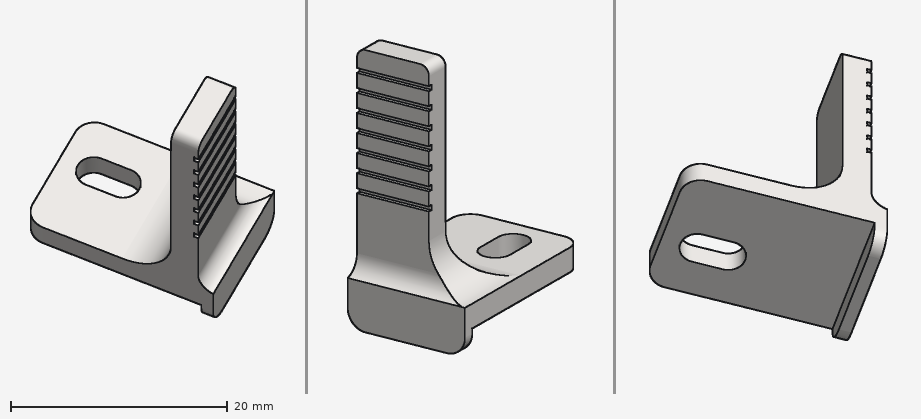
import cadquery as cq
import math

length = 19.5
depth = 13.04
height = 27.5

base_thickness = 2.5
base_corner_radius = 2.0

lip_drop = 2.5
lip_thickness = 1.25
lip_corner_radius = 2.0

wall_thickness = 2.8
wall_setback = 1.55
wall_depth = 8.0
wall_corner_radius = 1.0

inner_blend_radius = 5.0
outer_blend_radius = 2.0

slot_length = 6.3
slot_width = 3.3
slot_center_x = 5.0
slot_center_y = 7.75

groove_count = 7
groove_pitch = 2.0
groove_height = 0.5
groove_depth = 0.45
first_groove_drop = 2.0

wall_top = height - base_thickness - lip_drop
base_bottom = -base_thickness
lip_bottom = base_bottom - lip_drop
wall_outer_x = length - wall_setback
wall_inner_x = wall_outer_x - wall_thickness

outer_blend_rise = math.sqrt(outer_blend_radius**2 - (outer_blend_radius - wall_setback) ** 2)


def make_side_profile():
    """Base, wall, lip and both X blends, extruded over the full depth."""
    return (
        cq.Workplane("XZ")
        .moveTo(0, base_bottom)
        .lineTo(0, 0)
        .lineTo(wall_inner_x - inner_blend_radius, 0)
        .radiusArc((wall_inner_x, inner_blend_radius), -inner_blend_radius)
        .lineTo(wall_inner_x, wall_top)
        .lineTo(wall_outer_x, wall_top)
        .lineTo(wall_outer_x, outer_blend_rise)
        .radiusArc((length, 0), -outer_blend_radius)
        .lineTo(length, lip_bottom)
        .lineTo(length - lip_thickness, lip_bottom)
        .lineTo(length - lip_thickness, base_bottom)
        .close()
        .extrude(-depth)
    )


def make_end_profile():
    """Wall, its back blend and the base, seen along X and extruded over the full length."""
    return (
        cq.Workplane("YZ")
        .moveTo(0, lip_bottom)
        .lineTo(depth, lip_bottom)
        .lineTo(depth, 0)
        .lineTo(wall_depth + inner_blend_radius, 0)
        .radiusArc((wall_depth, inner_blend_radius), inner_blend_radius)
        .lineTo(wall_depth, wall_top)
        .lineTo(0, wall_top)
        .close()
        .extrude(length)
    )


def round_corners(body):
    """Round the wall top, the lip bottom and the free end of the base."""
    body = body.edges("|X and >Z").fillet(wall_corner_radius)
    body = body.edges("|X and <Z").fillet(lip_corner_radius)
    return body.edges("|Z and <X").fillet(base_corner_radius)


def make_slot():
    return (
        cq.Workplane("XY", origin=(slot_center_x, slot_center_y, base_bottom))
        .slot2D(slot_length, slot_width)
        .extrude(base_thickness)
    )


def make_groove(top):
    return cq.Workplane("XY").box(groove_depth, wall_depth, groove_height, centered=False).translate(
        (wall_outer_x - groove_depth, 0, top - groove_height)
    )


result = round_corners(make_side_profile().intersect(make_end_profile()))
result = result.cut(make_slot())
for index in range(groove_count):
    groove_top = wall_top - first_groove_drop - index * groove_pitch
    result = result.cut(make_groove(groove_top))